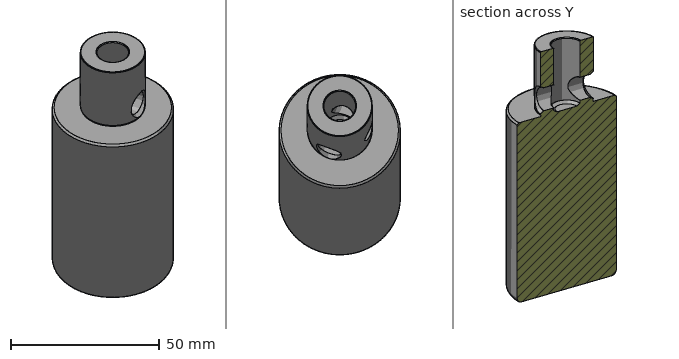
import cadquery as cq
import math

total_height = 90.9

body_radius = 20.5
body_height = 66.9
body_top_chamfer = 0.7
body_base_fillet = 2.0

spigot_radius = 11.0
spigot_top_chamfer = 0.25
neck_radius = 10.8
neck_height = 0.45
neck_taper_height = 0.55
neck_base_fillet = 0.2
spigot_overlap = 1.0

bore_radius = 5.35
bore_mouth_chamfer = 0.3
bore_floor_radius = 4.0
bore_floor_z = body_height
bore_cone_slope = math.radians(30)

cross_hole_radius = 4.2
cross_hole_z = total_height - 18.0
countersink_depth = 1.5
countersink_half_angle = math.radians(30)

side_hole_radius = 3.4
side_hole_z = total_height - 14.3


def make_body():
    body = cq.Workplane("XY").circle(body_radius).extrude(body_height)
    body = body.faces(">Z").chamfer(body_top_chamfer)
    return body.faces("<Z").edges().fillet(body_base_fillet)


def make_spigot():
    """Revolved spigot, tapering at its foot into a narrower neck with a filleted base."""
    taper_start_z = body_height + neck_height
    taper_end_z = taper_start_z + neck_taper_height
    foot_z = body_height - spigot_overlap
    fillet_outer_radius = neck_radius + neck_base_fillet
    spigot = (
        cq.Workplane("XZ")
        .moveTo(0, foot_z)
        .lineTo(fillet_outer_radius, foot_z)
        .lineTo(fillet_outer_radius, body_height)
        .radiusArc((neck_radius, body_height + neck_base_fillet), neck_base_fillet)
        .lineTo(neck_radius, taper_start_z)
        .lineTo(spigot_radius, taper_end_z)
        .lineTo(spigot_radius, total_height - spigot_top_chamfer)
        .lineTo(spigot_radius - spigot_top_chamfer, total_height)
        .lineTo(0, total_height)
        .close()
    )
    return spigot.revolve(360, (0, 0), (0, 1))


def make_bore():
    cone_height = (bore_radius - bore_floor_radius) * math.tan(bore_cone_slope)
    profile = [
        (0, bore_floor_z),
        (bore_floor_radius, bore_floor_z),
        (bore_radius, bore_floor_z + cone_height),
        (bore_radius, total_height - bore_mouth_chamfer),
        (bore_radius + bore_mouth_chamfer, total_height),
        (0, total_height),
    ]
    return cq.Workplane("XZ").polyline(profile).close().revolve(360, (0, 0), (0, 1))


def make_cross_hole():
    """Cylinder along X that flares into a cone at both ends."""
    cone_start_x = spigot_radius - countersink_depth
    mouth_radius = cross_hole_radius + countersink_depth * math.tan(countersink_half_angle)
    profile = [
        (-spigot_radius, 0),
        (-spigot_radius, mouth_radius),
        (-cone_start_x, cross_hole_radius),
        (cone_start_x, cross_hole_radius),
        (spigot_radius, mouth_radius),
        (spigot_radius, 0),
    ]
    cutter = cq.Workplane("XZ").polyline(profile).close().revolve(360, (0, 0), (1, 0))
    return cutter.translate((0, 0, cross_hole_z))


def make_side_hole():
    axis_start = cq.Vector(0, 0, side_hole_z)
    toward_plus_y = cq.Vector(0, 1, 0)
    return cq.Solid.makeCylinder(side_hole_radius, spigot_radius, axis_start, toward_plus_y)


result = make_body().union(make_spigot())
result = result.cut(make_bore())
result = result.cut(make_cross_hole())
result = result.cut(make_side_hole())